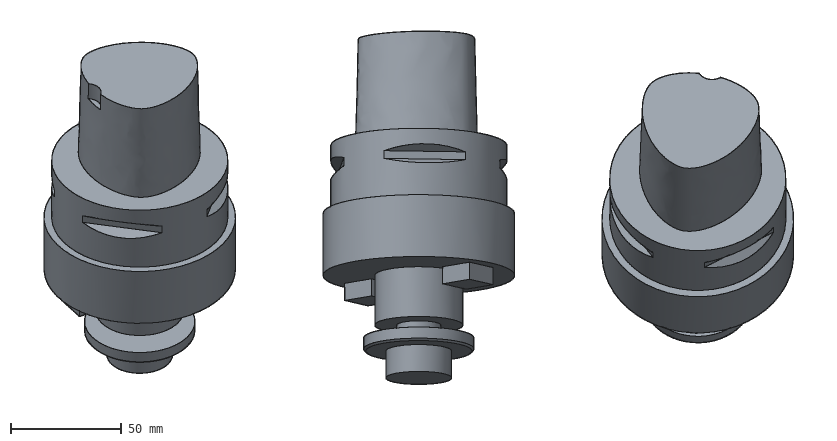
import cadquery as cq
import math

total_height = 155.5
shank_length = 48.0
shoulder_z = total_height - shank_length
flange_height = 28.6
flange_bottom_z = 47.5
flange_top_z = flange_bottom_z + flange_height
pilot_bottom_z = 24.4
washer_top_z = 18.5
washer_bottom_z = 12.5

body_diameter = 80.0
flange_diameter = 87.0
pilot_diameter = 40.0
neck_diameter = 20.0
washer_diameter = 50.0
screw_diameter = 29.9
washer_chamfer = 1.0

shank_base_width = 55.4
shank_taper = 1 / 20
lobe_height = 2.0

notch_radius = 6.8
notch_depth = 8.2
notch_inner_y = -22.0

groove_z = 96.0
groove_floor_height = 3.5
groove_floor_distance = 35.5
groove_flank_angle = 30.0
groove_count = 4

key_width = 16.3
key_length = 16.0
key_height = 8.0
key_outer_y = 37.3


def disc(diameter, bottom_z, top_z):
    """Round step between two heights."""
    return cq.Workplane("XY").workplane(offset=bottom_z).circle(diameter / 2).extrude(top_z - bottom_z)


def lobed_wire(width, z):
    """Constant-width outline with three rounded lobes, one pointing along +Y."""

    def outline_point(t):
        x = width / 2 * math.cos(t) + lobe_height * (2 * math.cos(2 * t) - math.cos(4 * t))
        y = width / 2 * math.sin(t) - lobe_height * (2 * math.sin(2 * t) + math.sin(4 * t))
        return cq.Vector(-y, x, z)

    point_count = 48
    points = [outline_point(2 * math.pi * i / point_count) for i in range(point_count)]
    return cq.Wire.assembleEdges([cq.Edge.makeSpline(points, periodic=True)])


def shank():
    """Tapered lobed shank with a round-backed notch on its -Y side."""
    top_width = shank_base_width - shank_taper * shank_length
    base = lobed_wire(shank_base_width, shoulder_z)
    top = lobed_wire(top_width, total_height)
    taper = cq.Workplane(cq.Solid.makeLoft([base, top], True))
    notch = disc(2 * notch_radius, total_height - notch_depth, total_height)
    return taper.cut(notch.translate((0, notch_inner_y - notch_radius, 0)))


def groove_cutter():
    """Straight groove across the +X side, with a flat floor and sloping flanks."""
    reach = flange_diameter / 2
    half_floor = groove_floor_height / 2
    flank_rise = (reach - groove_floor_distance) * math.tan(math.radians(groove_flank_angle))
    half_mouth = half_floor + flank_rise
    return (
        cq.Workplane("XZ")
        .moveTo(groove_floor_distance, groove_z - half_floor)
        .lineTo(reach, groove_z - half_mouth)
        .lineTo(reach, groove_z + half_mouth)
        .lineTo(groove_floor_distance, groove_z + half_floor)
        .close()
        .extrude(body_diameter / 2, both=True)
    )


def grooved_body():
    """Upper body with gripper grooves on its diagonals."""
    body = disc(body_diameter, flange_top_z, shoulder_z)
    pitch = 360 / groove_count
    for i in range(groove_count):
        angle = (i + 0.5) * pitch
        body = body.cut(groove_cutter().rotate((0, 0, 0), (0, 0, 1), angle))
    return body


def drive_key(side):
    """Rectangular key on the +Y (side = 1) or -Y (side = -1) half of the flange face."""
    center_y = side * (key_outer_y - key_length / 2)
    center_z = flange_bottom_z - key_height / 2
    return cq.Workplane("XY").box(key_width, key_length, key_height).translate((0, center_y, center_z))


def washer():
    """Clamping washer, chamfered around its lower edge."""
    return disc(washer_diameter, washer_bottom_z, washer_top_z).faces("<Z").chamfer(washer_chamfer)


result = (
    disc(flange_diameter, flange_bottom_z, flange_top_z)
    .union(grooved_body())
    .union(shank())
    .union(disc(pilot_diameter, pilot_bottom_z, flange_bottom_z))
    .union(disc(neck_diameter, washer_top_z, pilot_bottom_z))
    .union(washer())
    .union(disc(screw_diameter, 0, washer_bottom_z))
)
for key_side in (-1, 1):
    result = result.union(drive_key(key_side))